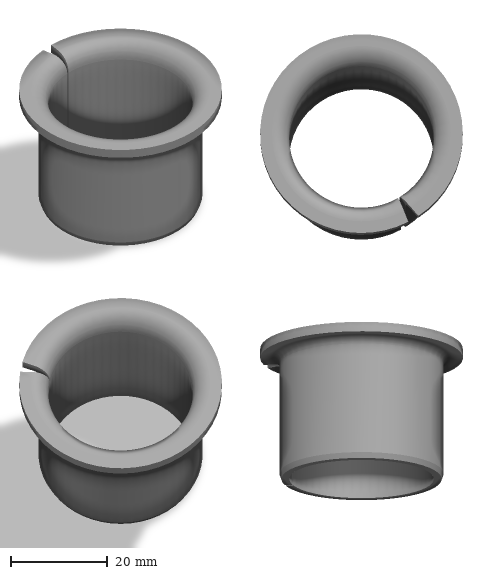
import cadquery as cq
import math

flange_radius = 21.0
length = 28.0
wall = 2.0
barrel_radius = 17.0
bore_radius = barrel_radius - wall

outer_fillet = 1.5
inner_fillet = outer_fillet + wall

chamfer_height = 1.15
chamfer_angle = 20.0
chamfer_width = chamfer_height * math.tan(math.radians(chamfer_angle))

split_half_angle = 9.6
split_bore_half_width = 0.2
split_overrun = 2.1


def make_flanged_sleeve():
    """Revolve the wall section about Z, with the seam turned to the split on the -X side."""
    arc_scale = math.sqrt(0.5)
    flare_center_r = barrel_radius + outer_fillet
    flare_center_z = length - inner_fillet
    outer_mid = (flare_center_r - outer_fillet * arc_scale, flare_center_z + outer_fillet * arc_scale)
    inner_mid = (flare_center_r - inner_fillet * arc_scale, flare_center_z + inner_fillet * arc_scale)
    return (
        cq.Workplane("XZ")
        .moveTo(bore_radius, 0)
        .lineTo(barrel_radius - chamfer_width, 0)
        .lineTo(barrel_radius, chamfer_height)
        .lineTo(barrel_radius, flare_center_z)
        .threePointArc(outer_mid, (flare_center_r, length - wall))
        .lineTo(flange_radius, length - wall)
        .lineTo(flange_radius, length)
        .lineTo(flare_center_r, length)
        .threePointArc(inner_mid, (bore_radius, flare_center_z))
        .close()
        .revolve(360, (0, 0, 0), (0, 1, 0))
        .rotate((0, 0, 0), (0, 0, 1), 180)
    )


def make_split():
    """Triangular prism whose tip lies just inside the bore."""
    slope = math.tan(math.radians(split_half_angle))
    tip_x = -bore_radius + split_bore_half_width / slope
    end_x = -flange_radius - split_overrun
    end_half_width = (tip_x - end_x) * slope
    return (
        cq.Workplane("XY")
        .polyline([(tip_x, 0), (end_x, end_half_width), (end_x, -end_half_width)])
        .close()
        .extrude(length)
    )


result = make_flanged_sleeve().cut(make_split())